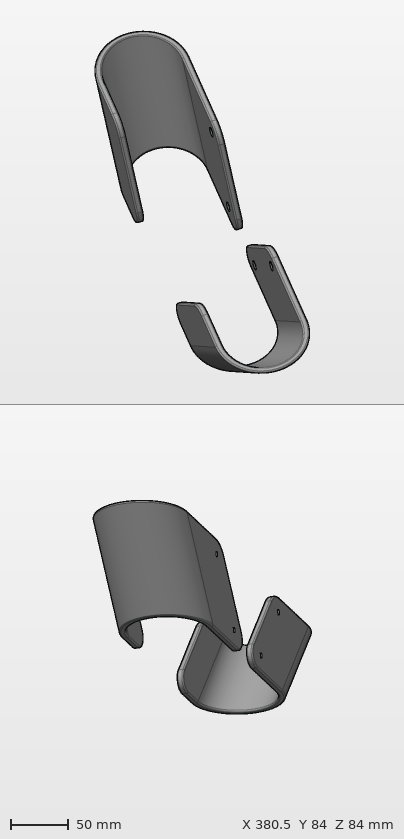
import cadquery as cq
import math

length = 380.5
height = 84.0
width = 84.0

wall = 6.0
lean = 65.5
outer_radius = width / 2
inner_radius = outer_radius - wall
long_end_x = 0.5
short_setback = 36.5
short_end_x = long_end_x - short_setback

sharp_corner_radius = 11.8
blunt_corner_radius = 25.0
rim_radius = 1.35

slant_angle = math.atan2(height, lean)
tip_trim = rim_radius * (1 / math.tan(slant_angle / 2) - 1)
bend_x = -length / 2 - tip_trim + lean + outer_radius

hole_diameter = 4.5
sink_diameter = 8.5
sink_depth = (sink_diameter - hole_diameter) / 2
hole_centers = [(-75.7, 70.0), (-33.0, 15.0)]


def slanted_wall():
    """U outline with its closed end at -X, extruded along the slant."""
    outline = (
        cq.Workplane("XY")
        .moveTo(long_end_x, outer_radius)
        .lineTo(bend_x, outer_radius)
        .threePointArc((bend_x - outer_radius, 0), (bend_x, -outer_radius))
        .lineTo(short_end_x, -outer_radius)
        .lineTo(short_end_x, -inner_radius)
        .lineTo(bend_x, -inner_radius)
        .threePointArc((bend_x - inner_radius, 0), (bend_x, inner_radius))
        .lineTo(long_end_x, inner_radius)
        .close()
    )
    face = cq.Face.makeFromWires(outline.val())
    return cq.Workplane(cq.Solid.extrudeLinear(face, cq.Vector(-lean, 0, height)))


def round_plate_corners(body):
    """Round the free corners of both plates, then soften the whole rim."""
    body = body.faces("<Z").edges("|Y").fillet(sharp_corner_radius)
    body = body.faces(">Z").edges("|Y").fillet(blunt_corner_radius)
    body = body.faces("<Z or >Z").edges("not |Y").fillet(rim_radius)
    return body


def cut_screw_holes(body):
    """Holes through the long plate, countersunk on its inner face."""
    inner_face = cq.Workplane("XZ", origin=(0, inner_radius, 0))
    for center in hole_centers:
        drill = inner_face.center(*center).circle(hole_diameter / 2).extrude(-wall)
        sink = (
            inner_face.center(*center)
            .circle(sink_diameter / 2)
            .workplane(offset=-sink_depth)
            .circle(hole_diameter / 2)
            .loft()
        )
        body = body.cut(drill).cut(sink)
    return body


left_bracket = cut_screw_holes(round_plate_corners(slanted_wall()))
right_bracket = left_bracket.mirror("YZ")

result = cq.Compound.makeCompound([left_bracket.val(), right_bracket.val()])